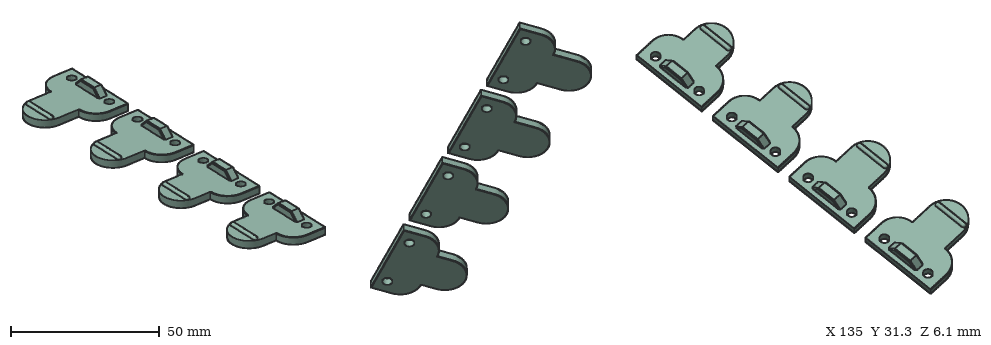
import cadquery as cq
import math

overall_length = 135.0
plate_count = 4
plate_gap = 5.0
plate_width = (overall_length - (plate_count - 1) * plate_gap) / plate_count
pitch = plate_width + plate_gap
plate_thickness = 3.1

edge_bevel = 0.2

head_depth = 15.3
corner_radius = plate_width / 4

tongue_radius = plate_width / 4
longest_reach = 31.3
reach_step = 1.0

hole_diameter = 3.4
hole_spacing = 20.0
hole_setback = 4.0

lug_height = 3.0
lug_top_length = 7.0
lug_base_length = lug_top_length + 2 * lug_height
lug_width = 3.8
lug_setback = 3.8
lug_bevel = 0.4

ridge_radius = 1.0
ridge_straight_length = 11.9
ridge_to_tip = 5.3


def make_blank(reach):
    """T-shaped plate from the back edge to y = -reach.

    The whole bottom outline is bevelled, and so are the top sides and corners of the head.
    """
    half_width = plate_width / 2
    corner_cut = corner_radius * (1 - math.sqrt(0.5))
    corner_start_y = corner_radius - head_depth
    tip_start_y = tongue_radius - reach
    blank = (
        cq.Workplane("XY")
        .moveTo(-half_width, 0)
        .lineTo(-half_width, corner_start_y)
        .threePointArc(
            (corner_cut - half_width, corner_cut - head_depth),
            (corner_radius - half_width, -head_depth),
        )
        .lineTo(-tongue_radius, tip_start_y)
        .threePointArc((0, -reach), (tongue_radius, tip_start_y))
        .lineTo(half_width - corner_radius, -head_depth)
        .threePointArc(
            (half_width - corner_cut, corner_cut - head_depth),
            (half_width, corner_start_y),
        )
        .lineTo(half_width, 0)
        .close()
        .extrude(plate_thickness)
    )
    head_edges = cq.selectors.BoxSelector(
        (-plate_width, -head_depth, plate_thickness - edge_bevel),
        (plate_width, -edge_bevel, plate_thickness + edge_bevel),
    )
    blank = blank.edges(head_edges).chamfer(edge_bevel)
    return blank.faces("<Z").edges().chamfer(edge_bevel)


def make_screw_holes():
    """Cutters for the two through holes."""
    return (
        cq.Workplane("XY")
        .pushPoints([(-hole_spacing / 2, -hole_setback), (hole_spacing / 2, -hole_setback)])
        .circle(hole_diameter / 2)
        .extrude(plate_thickness)
    )


def make_lug():
    """Trapezoidal lug standing on the plate, its sloping and top edges bevelled."""
    top_z = plate_thickness + lug_height
    return (
        cq.Workplane("XZ", origin=(0, lug_width / 2 - lug_setback, 0))
        .moveTo(-lug_base_length / 2, plate_thickness)
        .lineTo(-lug_top_length / 2, top_z)
        .lineTo(lug_top_length / 2, top_z)
        .lineTo(lug_base_length / 2, plate_thickness)
        .close()
        .extrude(lug_width)
        .faces("<Y or >Y")
        .edges("not <Z")
        .chamfer(lug_bevel)
    )


def make_ridge(reach):
    """Round bar with ball ends, centred on the top face so that its upper half stands out."""
    half_length = ridge_straight_length / 2
    bar = (
        cq.Workplane("YZ", origin=(-half_length, 0, 0))
        .circle(ridge_radius)
        .extrude(ridge_straight_length)
    )
    for end_x in (-half_length, half_length):
        bar = bar.union(cq.Workplane("XY").sphere(ridge_radius).translate((end_x, 0, 0)))
    return bar.translate((0, ridge_to_tip - reach, plate_thickness))


def make_hook_plate(reach):
    """One complete plate with its back edge centred on the origin."""
    return (
        make_blank(reach)
        .cut(make_screw_holes())
        .union(make_lug())
        .union(make_ridge(reach))
    )


hook_plates = []
for index in range(plate_count):
    plate = make_hook_plate(longest_reach - index * reach_step)
    hook_plates.append(plate.translate((index * pitch, 0, 0)).val())

result = cq.Compound.makeCompound(hook_plates)